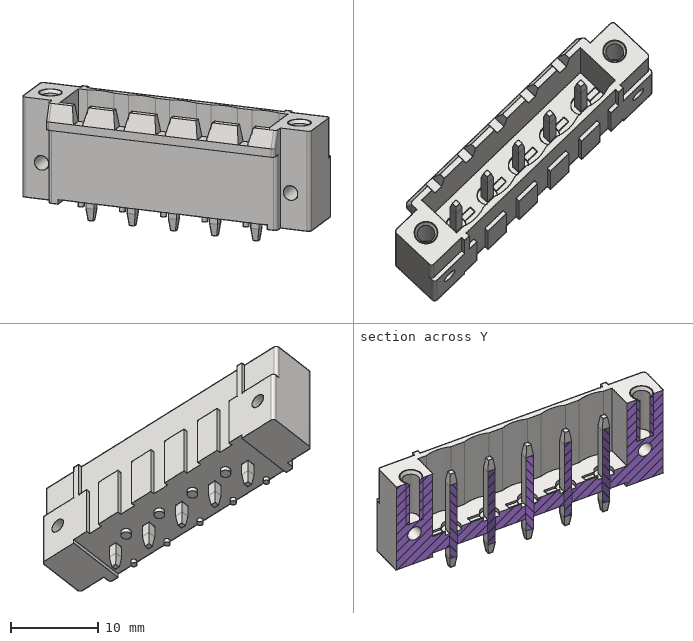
import cadquery as cq


pin_count = 5
pitch = 5.08
pin_xs = [(i - (pin_count - 1) / 2) * pitch for i in range(pin_count)]
pin_width = 1.0
pin_tip_width = 0.6
pin_taper_length = 1.5
pin_bottom = -2.6
pin_top = 10.85

housing_length = 35.56
housing_top = 12.0
rear_y = 3.6
pad_rear_y = 4.1
flange_front_y = -2.4
body_front_y = -3.5
body_length = 28.2
corner_radius = 0.4

lip_front_y = -4.3
lip_bottom = 9.0
lip_shoulder = 10.0

cavity_length = 25.8
cavity_half_width = 2.8
cavity_floor = 3.0
scallop_half_width = 1.65
scallop_depth = 0.3

notch_top_width = 2.0
notch_bottom_width = 1.1
notch_offset = 0.05

recess_diameter = 2.3
recess_depth = 0.5
groove_width = 0.75
groove_reach = 2.7
groove_depth = 0.25

pad_top = 7.2
lug_width = 0.75
gap_half_width = 1.05
end_gap_outer_half_width = 0.75

standoff = 0.55
large_peg_diameter = 1.2
large_peg_y = 1.0
small_peg_diameter = 0.7
small_peg_y = body_front_y + small_peg_diameter / 2

insert_x = 15.35
insert_y = 0.3
insert_diameter = 2.7
insert_bore = 2.01
insert_mouth = 2.55
insert_length = 6.0
insert_chamfer = 0.4
cross_hole_diameter = 1.75
cross_hole_z = 4.35


def block(x0, x1, y0, y1, z0, z1):
    """Axis-aligned box between two corners."""
    return cq.Workplane("XY").box(x1 - x0, y1 - y0, z1 - z0, centered=False).translate((x0, y0, z0))


def centred_block(length, y0, y1, z0, z1):
    """Box that is symmetric about X = 0."""
    return block(-length / 2, length / 2, y0, y1, z0, z1)


def cylinder(x, y, z0, z1, diameter):
    """Vertical cylinder."""
    return cq.Workplane("XY", origin=(x, y, z0)).circle(diameter / 2).extrude(z1 - z0)


def make_flanges():
    """Full-length block with the thicker pad along the lower rear."""
    upper = centred_block(housing_length, flange_front_y, rear_y, 0, housing_top)
    lower = centred_block(housing_length, flange_front_y, pad_rear_y, 0, pad_top)
    return upper.edges("|Z").fillet(corner_radius).union(lower.edges("|Z").fillet(corner_radius))


def make_front_body():
    """Front wall with its overhanging lip, rounded along both front corners."""
    wall = centred_block(body_length, body_front_y, 0, 0, housing_top)
    wall = wall.edges("|Z and <Y").fillet(corner_radius)
    front_edges = cq.selectors.BoxSelector(
        (-body_length, lip_front_y - corner_radius, (lip_bottom + lip_shoulder) / 2 - corner_radius),
        (body_length, body_front_y, housing_top - corner_radius),
    )
    lip = (
        cq.Workplane("YZ", origin=(-body_length / 2, 0, 0))
        .moveTo(0, lip_bottom)
        .lineTo(lip_front_y, lip_bottom)
        .lineTo(lip_front_y, lip_shoulder)
        .lineTo(body_front_y, housing_top)
        .lineTo(0, housing_top)
        .close()
        .extrude(body_length)
    )
    for end in ("<X", ">X"):
        lip = lip.faces(end).edges(front_edges).fillet(corner_radius)
    return wall.union(lip)


def make_lugs():
    """Full-height ribs on the rear wall beside the flanges."""
    outer = cavity_length / 2
    left = block(-outer, lug_width - outer, 0, pad_rear_y, 0, housing_top)
    return left.union(left.mirror("YZ"))


def cut_rear_gaps(body):
    """Open the rear pad behind each pin; the two end gaps are narrower outward."""
    for x in pin_xs:
        left = end_gap_outer_half_width if x == pin_xs[0] else gap_half_width
        right = end_gap_outer_half_width if x == pin_xs[-1] else gap_half_width
        body = body.cut(block(x - left, x + right, rear_y, pad_rear_y, 0, pad_top))
    return body


def make_cavity():
    """Mating cavity with a shallow arc in the rear wall behind each pin."""
    half_length = cavity_length / 2
    outline = (
        cq.Workplane("XY", origin=(0, 0, cavity_floor))
        .moveTo(half_length, -cavity_half_width)
        .lineTo(-half_length, -cavity_half_width)
        .lineTo(-half_length, cavity_half_width)
    )
    for x in pin_xs:
        outline = (
            outline.lineTo(x - scallop_half_width, cavity_half_width)
            .threePointArc(
                (x, cavity_half_width + scallop_depth),
                (x + scallop_half_width, cavity_half_width),
            )
        )
    return outline.lineTo(half_length, cavity_half_width).close().extrude(housing_top - cavity_floor)


def make_notch(x):
    """Tapered opening through the front wall in front of a pin."""
    return (
        cq.Workplane("XZ", origin=(x + notch_offset, -cavity_half_width, 0))
        .polyline([
            (-notch_bottom_width / 2, lip_shoulder),
            (notch_bottom_width / 2, lip_shoulder),
            (notch_top_width / 2, housing_top),
            (-notch_top_width / 2, housing_top),
        ])
        .close()
        .extrude(-cavity_half_width - lip_front_y)
    )


def make_floor_recess(x):
    """Round recess around a pin with a shallower groove leading to its left."""
    recess = cylinder(x, 0, cavity_floor - recess_depth, cavity_floor, recess_diameter)
    groove = block(x - groove_reach, x, -groove_width / 2, groove_width / 2,
                   cavity_floor - groove_depth, cavity_floor)
    return recess.union(groove)


def make_pegs():
    """Standoff pegs: small ones in front of the pins, large ones between them."""
    pegs = [cylinder(x, small_peg_y, 0, standoff, small_peg_diameter) for x in pin_xs]
    pegs += [
        cylinder(x + pitch / 2, large_peg_y, 0, standoff, large_peg_diameter) for x in pin_xs[:-1]
    ]
    return pegs


def make_pin_hole(x):
    """Square passage for a pin through the floor."""
    half = pin_width / 2
    return block(x - half, x + half, -half, half, 0, cavity_floor)


def make_housing():
    body = make_flanges().union(make_front_body()).union(make_lugs())
    body = cut_rear_gaps(body)
    body = body.cut(make_cavity())
    body = body.cut(centred_block(cavity_length, lip_front_y, pad_rear_y, 0, standoff))
    for x in pin_xs:
        body = body.cut(make_notch(x)).cut(make_floor_recess(x)).cut(make_pin_hole(x))
    for peg in make_pegs():
        body = body.union(peg)
    for x in (-insert_x, insert_x):
        body = body.cut(
            cylinder(x, insert_y, housing_top - insert_length, housing_top, insert_diameter)
        )
        cross_hole = (
            cq.Workplane("XZ", origin=(x, pad_rear_y, cross_hole_z))
            .circle(cross_hole_diameter / 2)
            .extrude(pad_rear_y - flange_front_y)
        )
        body = body.cut(cross_hole)
    return body


def make_pin(x):
    """Square pin tapered at both ends."""
    straight_bottom = pin_bottom + pin_taper_length
    straight_top = pin_top - pin_taper_length
    half = pin_width / 2
    shank = block(x - half, x + half, -half, half, straight_bottom, straight_top)

    def taper(z, length):
        return (
            cq.Workplane("XY", origin=(x, 0, z))
            .rect(pin_width, pin_width)
            .workplane(offset=length)
            .rect(pin_tip_width, pin_tip_width)
            .loft(ruled=True)
        )

    return (
        shank.union(taper(straight_top, pin_taper_length))
        .union(taper(straight_bottom, -pin_taper_length))
    )


def make_insert(x):
    """Fastening bush set flush in the flange, with a countersunk mouth."""
    bottom = housing_top - insert_length
    profile = [
        (insert_bore / 2, 0),
        (insert_diameter / 2, 0),
        (insert_diameter / 2, insert_length),
        (insert_mouth / 2, insert_length),
        (insert_bore / 2, insert_length - insert_chamfer),
    ]
    return (
        cq.Workplane("XZ")
        .polyline(profile)
        .close()
        .revolve(360, (0, 0, 0), (0, 1, 0))
        .translate((x, insert_y, bottom))
    )


housing = make_housing()
pins = [make_pin(x) for x in pin_xs]
inserts = [make_insert(x) for x in (-insert_x, insert_x)]

result = cq.Compound.makeCompound(
    [housing.val()] + [pin.val() for pin in pins] + [insert.val() for insert in inserts]
)